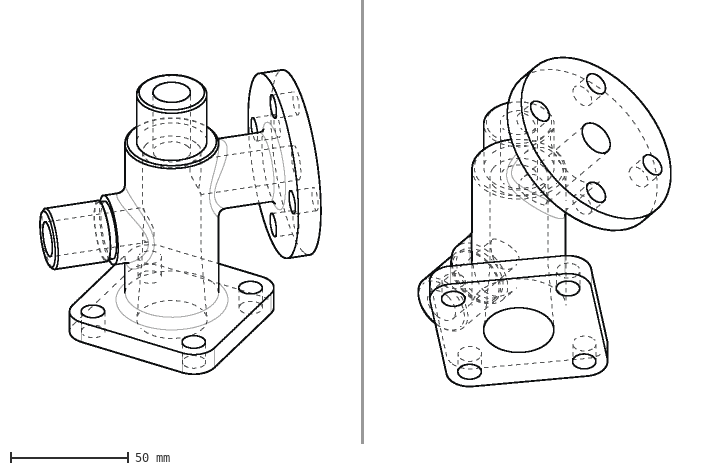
import cadquery as cq
import math

total_height = 115.0
body_diameter = 40.0
body_top = 90.0
body_chamfer = 0.9
end_chamfer = 1.0
stub_diameter = 30.0
root_fillet = 3.9
edge_search_radius = 0.1

flange_thickness = 10.0
bolt_hole_diameter = 10.0
base_bolt_radius = 35.0
base_corner_radius = 10.0
base_side = math.sqrt(2) * base_bolt_radius + 2 * base_corner_radius

overall_length = 110.0
end_reach = overall_length / 2
branch_diameter = 30.0
rear_axis_height = 70.0
rear_flange_diameter = 80.0
rear_bolt_radius = 30.0

front_axis_height = 50.0
branch_end_reach = 28.0
relief_diameter = 25.0
relief_end_reach = 30.8
spigot_diameter = 26.5

top_bore_diameter = 16.0
chamber_diameter = 25.0
chamber_top = 85.0
chamber_bottom = 35.0
inlet_diameter = 30.0
side_bore_diameter = 15.0


def cylinder_z(diameter, bottom, top):
    return cq.Workplane("XY", origin=(0, 0, bottom)).circle(diameter / 2).extrude(top - bottom)


def cylinder_y(diameter, height, start, end):
    """Cylinder along Y on an axis at the given height; start is less than end."""
    return cq.Workplane("XZ", origin=(0, start, height)).circle(diameter / 2).extrude(start - end)


def base_flange():
    square = cq.Workplane("XY").rect(base_side, base_side).extrude(flange_thickness)
    square = square.edges("|Z").fillet(base_corner_radius)
    return square.rotate((0, 0, 0), (0, 0, 1), 45)


def outer_body():
    """Body, flanges and branches, with every root between them filleted."""
    rear_face = end_reach - flange_thickness
    body = base_flange().union(cylinder_z(body_diameter, 0, body_top))
    body = body.faces(cq.selectors.NearestToPointSelector((0, 0, body_top))).chamfer(body_chamfer)
    body = body.union(cylinder_y(branch_diameter, rear_axis_height, 0, end_reach))
    body = body.union(cylinder_y(branch_diameter, front_axis_height, -branch_end_reach, 0))
    body = body.union(cylinder_y(rear_flange_diameter, rear_axis_height, rear_face, end_reach))

    half_body = body_diameter / 2
    half_branch = branch_diameter / 2
    root_points = (
        (half_body, 0, flange_thickness),
        (0, half_body, rear_axis_height + half_branch),
        (0, -half_body, front_axis_height + half_branch),
        (half_branch, rear_face, rear_axis_height),
    )
    for point in root_points:
        probe = cq.Workplane("XY").sphere(edge_search_radius).translate(point).val()
        touching = [edge for edge in body.edges().vals() if edge.distance(probe) < edge_search_radius]
        body = body.newObject(touching).fillet(root_fillet)
    return body


def top_stub():
    return cylinder_z(stub_diameter, chamber_top, total_height).faces(">Z").chamfer(end_chamfer)


def front_spigot():
    relief = cylinder_y(relief_diameter, front_axis_height, -relief_end_reach, 0)
    spigot = cylinder_y(spigot_diameter, front_axis_height, -end_reach, -relief_end_reach)
    return relief.union(spigot.faces("<Y").chamfer(end_chamfer))


def passages():
    inlet = (
        cq.Workplane("XY")
        .circle(inlet_diameter / 2)
        .workplane(offset=chamber_bottom)
        .circle(chamber_diameter / 2)
        .loft(ruled=True)
    )
    chamber = cylinder_z(chamber_diameter, chamber_bottom, chamber_top)
    top_bore = cylinder_z(top_bore_diameter, chamber_bottom, total_height)
    rear_bore = cylinder_y(side_bore_diameter, rear_axis_height, 0, end_reach)
    front_bore = cylinder_y(side_bore_diameter, front_axis_height, -end_reach, 0)
    return inlet.union(chamber).union(top_bore).union(rear_bore).union(front_bore)


def bolt_holes():
    """Four holes in the base flange and four in the rear flange."""
    hole_radius = bolt_hole_diameter / 2
    base_holes = (
        cq.Workplane("XY")
        .polarArray(base_bolt_radius, 0, 360, 4)
        .circle(hole_radius)
        .extrude(flange_thickness)
    )
    rear_holes = (
        cq.Workplane("XZ", origin=(0, end_reach, rear_axis_height))
        .polarArray(rear_bolt_radius, 0, 360, 4)
        .circle(hole_radius)
        .extrude(flange_thickness)
    )
    return base_holes.add(rear_holes).combine()


result = outer_body().union(top_stub()).union(front_spigot()).cut(passages()).cut(bolt_holes())